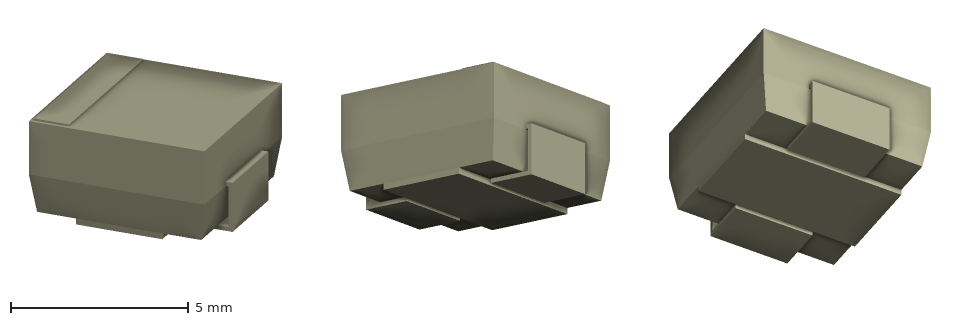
import cadquery as cq

overall_length = 5.85
overall_height = 3.05

housing_size = 5.41
housing_top = 2.99
waist_height = 1.36
base_height = 0.18
base_inset = 0.175
base_size = housing_size - 2 * base_inset
foot_length = 2.66

band_inset = 0.11
band_length = 1.08
band_width = housing_size - 2 * band_inset
band_thickness = overall_height - housing_top

lead_thickness = 0.13
lead_width = 2.49
lead_height = 1.5
lead_foot_length = 1.44


def make_housing():
    """Upper block, tapered base and standoff foot, molded as one solid."""
    upper = (
        cq.Workplane("XY", origin=(0, 0, waist_height))
        .rect(housing_size, housing_size)
        .extrude(housing_top - waist_height)
    )
    base = (
        cq.Workplane("XY", origin=(0, 0, base_height))
        .rect(base_size, base_size)
        .workplane(offset=waist_height - base_height)
        .rect(housing_size, housing_size)
        .loft(ruled=True)
    )
    foot = cq.Workplane("XY").rect(foot_length, base_size).extrude(base_height)
    return upper.union(base).union(foot)


def make_polarity_band():
    """Thin raised bar along the -X edge of the housing top."""
    center_x = -housing_size / 2 + band_inset + band_length / 2
    return (
        cq.Workplane("XY", origin=(center_x, 0, housing_top))
        .rect(band_length, band_width)
        .extrude(band_thickness)
    )


def make_lead(side):
    """C-shaped lead that leaves the housing wall and folds under; side is -1 or +1 along X."""
    wall_x = side * housing_size / 2
    outer_x = side * overall_length / 2
    inner_x = outer_x - side * lead_thickness
    foot_tip_x = outer_x - side * lead_foot_length
    arm_bottom = lead_height - lead_thickness
    return (
        cq.Workplane("XZ")
        .moveTo(wall_x, lead_height)
        .lineTo(outer_x, lead_height)
        .lineTo(outer_x, 0)
        .lineTo(foot_tip_x, 0)
        .lineTo(foot_tip_x, lead_thickness)
        .lineTo(inner_x, lead_thickness)
        .lineTo(inner_x, arm_bottom)
        .lineTo(wall_x, arm_bottom)
        .close()
        .extrude(lead_width / 2, both=True)
    )


housing = make_housing()
polarity_band = make_polarity_band()
leads = [make_lead(side) for side in (-1, 1)]

result = cq.Compound.makeCompound(
    [housing.val(), polarity_band.val(), *[lead.val() for lead in leads]]
)